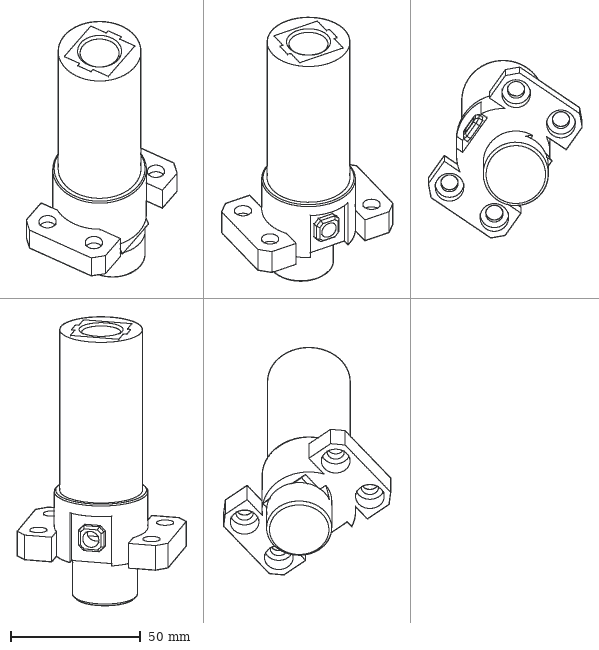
import cadquery as cq
import math

total_height = 110.0
collar_bottom = 20.0
collar_top = 45.0
flange_height = 10.0
axis_height = collar_bottom + flange_height

tube_radius = 16.0
core_length = 20.0
core_width = 19.2
key_length = 6.0
key_span = 22.0
bore_radius = 7.5
bore_chamfer = 1.0

collar_radius = 18.0
collar_chamfer = 0.5
flange_center_x = 1.0
flange_length = 36.0
flange_span = 60.0
flange_gap = 30.5
flange_corner = 4.0
mount_hole_diameter = 6.6
counterbore_diameter = 11.0
counterbore_depth = 6.4
mount_hole_pitch_x = 21.0
mount_hole_pitch_y = 45.0

pocket_width = 16.6
pocket_top = 40.2
pocket_floor_x = -13.2

button_size = 10.1
button_corner = 2.0
button_chamfer = 1.0
button_height = 2.6
button_seat_depth = 6.2
button_hole_radius = 3.2
button_hole_depth = 7.0
bevel_drop = 1.0

plug_center_x = 5.9
plug_radius = 12.5
plug_chamfer = 1.1
notch_floor = 14.0
wedge_bottom = 15.0
wedge_center_x = 9.6
wedge_bottom_length = 13.5
wedge_width = 19.0
slope_angle = 25.0
slope = math.tan(math.radians(slope_angle))


def make_keyed_bar(bottom, height):
    """Rectangular bar with one key on each Y side."""
    bar = cq.Workplane("XY", origin=(0, 0, bottom)).rect(core_length, core_width).extrude(height)
    keys = cq.Workplane("XY", origin=(0, 0, bottom)).rect(key_length, key_span).extrude(height)
    return bar.union(keys)


def make_tube():
    height = total_height - collar_top
    tube = cq.Workplane("XY", origin=(0, 0, collar_top)).circle(tube_radius).extrude(height)
    return tube.cut(make_keyed_bar(collar_top, height))


def make_core():
    core = make_keyed_bar(collar_top, total_height - collar_top)
    core = core.faces(">Z").workplane(origin=(0, 0, total_height)).hole(2 * bore_radius)
    return core.faces(">Z").edges("%CIRCLE").chamfer(bore_chamfer)


def make_mount_cylinders(diameter, height):
    """Four cylinders on the mounting hole pattern, rising from the underside of the flanges."""
    return (
        cq.Workplane("XY", origin=(flange_center_x, 0, collar_bottom))
        .rect(mount_hole_pitch_x, mount_hole_pitch_y, forConstruction=True)
        .vertices()
        .circle(diameter / 2)
        .extrude(height)
    )


def make_flanges():
    """Chamfered plate with a wide gap across its middle, leaving two drilled flanges."""
    base = cq.Workplane("XY", origin=(flange_center_x, 0, collar_bottom))
    plate = base.rect(flange_length, flange_span).extrude(flange_height)
    plate = plate.edges("|Z").chamfer(flange_corner)
    gap = base.rect(flange_length, flange_gap).extrude(flange_height)
    holes = make_mount_cylinders(mount_hole_diameter, flange_height)
    counterbores = make_mount_cylinders(counterbore_diameter, counterbore_depth)
    return plate.cut(gap).cut(holes).cut(counterbores)


def make_button_bar():
    """Octagonal bar along X, from the outer face of the button to the bottom of its seat."""
    bar = cq.Workplane("YZ", origin=(pocket_floor_x - button_height, 0, axis_height))
    bar = bar.rect(button_size, button_size).extrude(button_height + button_seat_depth)
    return bar.edges("|X").chamfer(button_corner)


def make_button_hole():
    """Blind hole whose end wall slopes away below the bevel line."""
    start_x = pocket_floor_x - button_height
    end_x = start_x + button_hole_depth
    top = axis_height + button_hole_radius
    bottom = axis_height - button_hole_radius
    bevel_top = axis_height - bevel_drop
    bevel_end_x = end_x + (bevel_top - bottom) * slope
    drill = (
        cq.Workplane("YZ", origin=(start_x, 0, axis_height))
        .circle(button_hole_radius)
        .extrude(bevel_end_x - start_x)
    )
    profile = (
        cq.Workplane("XZ")
        .moveTo(start_x, top)
        .lineTo(end_x, top)
        .lineTo(end_x, bevel_top)
        .lineTo(bevel_end_x, bottom)
        .lineTo(start_x, bottom)
        .close()
        .extrude(button_hole_radius, both=True)
    )
    return drill.intersect(profile)


def make_button():
    return make_button_bar().faces("<X").chamfer(button_chamfer).cut(make_button_hole())


def make_collar():
    ring = (
        cq.Workplane("XY", origin=(0, 0, collar_bottom))
        .circle(collar_radius)
        .extrude(collar_top - collar_bottom)
        .faces(">Z")
        .chamfer(collar_chamfer)
    )
    pocket = (
        cq.Workplane("YZ", origin=(pocket_floor_x, 0, (collar_bottom + pocket_top) / 2))
        .rect(pocket_width, pocket_top - collar_bottom)
        .extrude(-collar_radius)
    )
    return ring.union(make_flanges()).cut(pocket).cut(make_button_bar())


def wedge_left_x(z):
    """X of the wedge's sloping -X face at the given level."""
    return wedge_center_x - wedge_bottom_length / 2 + (z - wedge_bottom) * slope


def make_wedge():
    bottom_left = wedge_left_x(wedge_bottom)
    top_left = wedge_left_x(collar_bottom)
    return (
        cq.Workplane("XZ")
        .moveTo(bottom_left, wedge_bottom)
        .lineTo(2 * wedge_center_x - bottom_left, wedge_bottom)
        .lineTo(2 * wedge_center_x - top_left, collar_bottom)
        .lineTo(top_left, collar_bottom)
        .close()
        .extrude(wedge_width / 2, both=True)
    )


def make_plug():
    """Round plug, notched from +X; the notch wall runs flush with the wedge's sloping face."""
    plug = (
        cq.Workplane("XY", origin=(plug_center_x, 0, 0))
        .circle(plug_radius)
        .extrude(collar_bottom)
        .faces("<Z")
        .chamfer(plug_chamfer)
    )
    plug_right = plug_center_x + plug_radius
    notch = (
        cq.Workplane("XZ")
        .moveTo(wedge_left_x(notch_floor), notch_floor)
        .lineTo(plug_right, notch_floor)
        .lineTo(plug_right, collar_bottom)
        .lineTo(wedge_left_x(collar_bottom), collar_bottom)
        .close()
        .extrude(plug_radius, both=True)
    )
    return plug.cut(notch)


tube = make_tube()
core = make_core()
collar = make_collar()
button = make_button()
wedge = make_wedge()
plug = make_plug()

result = cq.Compound.makeCompound(
    [tube.val(), core.val(), collar.val(), button.val(), wedge.val(), plug.val()]
)